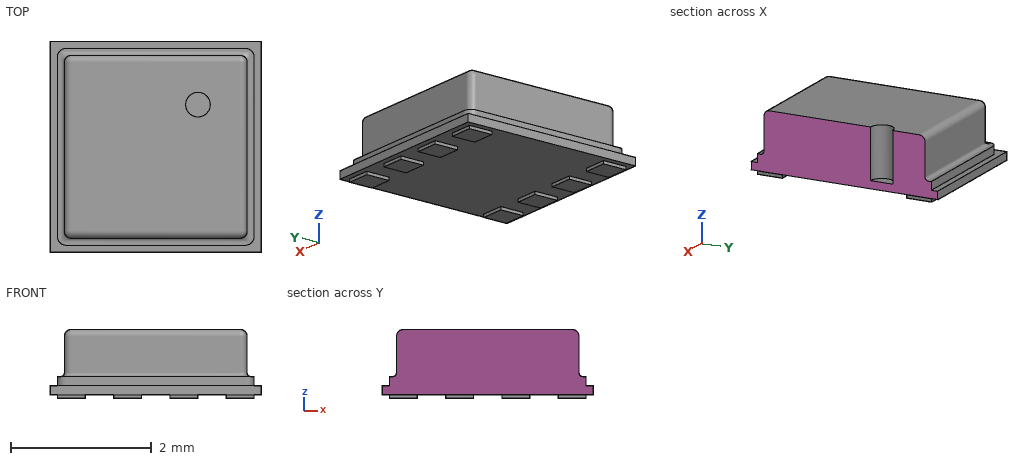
import cadquery as cq

total_height = 0.98
board_side = 3.0
board_thickness = 0.13

pad_side = 0.4
pad_thickness = 0.05
pads_per_row = 4
pad_rows = 2
pad_pitch = 0.8
row_spacing = 2.4

step = 0.1
flange_side = board_side - 2 * step
flange_thickness = 0.13
flange_corner_radius = 0.13

lid_side = flange_side - 2 * step
lid_edge_radius = 0.1
lid_root_radius = 0.05

port_diameter = 0.35
port_offset = 0.6

board_bottom = pad_thickness
flange_bottom = board_bottom + board_thickness
lid_bottom = flange_bottom + flange_thickness


def square_plate(side, thickness, bottom):
    """Square plate centred on the Z axis."""
    return cq.Workplane("XY").workplane(offset=bottom).rect(side, side).extrude(thickness)


def make_pads():
    """Two rows of solder pads, parallel to X."""
    return (
        cq.Workplane("XY")
        .rarray(pad_pitch, row_spacing, pads_per_row, pad_rows)
        .rect(pad_side, pad_side)
        .extrude(pad_thickness)
    )


def make_flange():
    """Foot of the lid, with rounded corners."""
    flange = square_plate(flange_side, flange_thickness, flange_bottom)
    return flange.edges("|Z").fillet(flange_corner_radius)


def lid_bar(plane):
    """Lid section, flared by the root radius, extruded across the part."""
    half_side = lid_side / 2
    half_foot = half_side + lid_root_radius
    root_top = lid_bottom + lid_root_radius
    return (
        cq.Workplane(plane)
        .moveTo(-half_foot, lid_bottom)
        .lineTo(half_foot, lid_bottom)
        .radiusArc((half_side, root_top), lid_root_radius)
        .lineTo(half_side, total_height)
        .lineTo(-half_side, total_height)
        .lineTo(-half_side, root_top)
        .radiusArc((-half_foot, lid_bottom), lid_root_radius)
        .close()
        .extrude(half_foot, both=True)
    )


def make_lid():
    """Lid whose flared walls meet in mitres; the corners and the top edges are rounded."""
    lid = lid_bar("XZ").intersect(lid_bar("YZ"))
    lid = lid.edges("|Z").fillet(lid_edge_radius)
    return lid.faces(">Z").edges().fillet(lid_edge_radius)


def cut_port(body):
    """Round port through the lid and its flange, ending on the board."""
    return body.cut(
        cq.Workplane("XY")
        .workplane(offset=flange_bottom)
        .center(port_offset, port_offset)
        .circle(port_diameter / 2)
        .extrude(total_height - flange_bottom)
    )


board = square_plate(board_side, board_thickness, board_bottom)
body = board.union(make_pads()).union(make_flange()).union(make_lid())
result = cut_port(body)